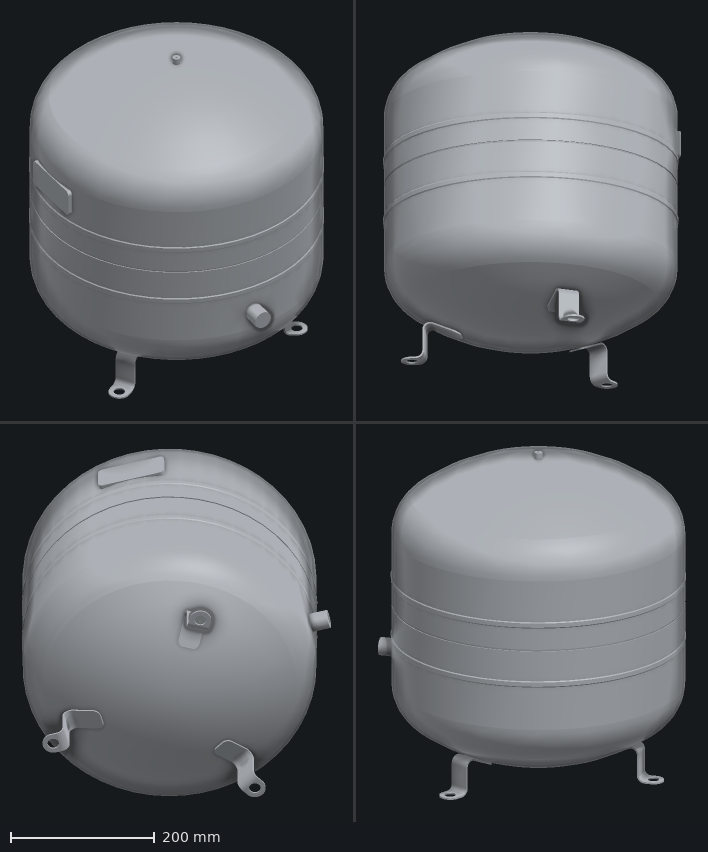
import cadquery as cq
import math

tank_radius = 204.5
knuckle_radius = 65.0
crown_radius = 304.0
lower_tangent_z = 129.8
upper_tangent_z = 348.5

bead_levels = (196.8, 283.8)
bead_base_width = 9.2
bead_crest_width = 6.2
bead_radius = 205.6
seam_z = 246.5
seam_width = 2.6
seam_depth = 1.5

plate_width = 94.0
plate_height = 40.0
plate_z = 321.0
plate_corner_radius = 6.0
plate_face_y = -205.66
plate_depth = 6.0

pipe_diameter = 25.5
pipe_z = 157.8
pipe_end_x = 229.53

valve_diameter = 11.0
valve_shoulder_z = 467.5
valve_pin_diameter = 3.0
valve_pin_top_z = 469.0

foot_angles = (60.0, 180.0, 300.0)
strap_width = 30.0
strap_thickness = 2.4
bend_radius = 8.5
foot_outer_reach = 182.5
leg_outer_face = 150.5
tab_contact_radius = 120.0
tab_end_radius = 97.0
tab_corner_radius = 10.0
bolt_hole_diameter = 16.0

knuckle_centre_radius = tank_radius - knuckle_radius
crown_offset = math.sqrt((crown_radius - knuckle_radius) ** 2 - knuckle_centre_radius**2)
crown_height = crown_radius - crown_offset
lower_crown_centre_z = lower_tangent_z + crown_offset
join_angle = math.atan2(crown_offset, knuckle_centre_radius)
crown_join_angle = (join_angle + math.pi / 2) / 2


def polar(radius, angle):
    """Radial and axial parts of a point on an arc, with the angle up from the radial axis."""
    return radius * math.cos(angle), radius * math.sin(angle)


def tank_shell():
    knuckle_mid_r, knuckle_mid_z = polar(knuckle_radius, join_angle / 2)
    knuckle_mid_r += knuckle_centre_radius
    join_r, join_z = polar(crown_radius, join_angle)
    join_z -= crown_offset
    crown_mid_r, crown_mid_z = polar(crown_radius, crown_join_angle)
    crown_mid_z -= crown_offset
    return (
        cq.Workplane("XZ")
        .moveTo(0, lower_tangent_z - crown_height)
        .threePointArc((crown_mid_r, lower_tangent_z - crown_mid_z), (join_r, lower_tangent_z - join_z))
        .threePointArc((knuckle_mid_r, lower_tangent_z - knuckle_mid_z), (tank_radius, lower_tangent_z))
        .lineTo(tank_radius, upper_tangent_z)
        .threePointArc((knuckle_mid_r, upper_tangent_z + knuckle_mid_z), (join_r, upper_tangent_z + join_z))
        .threePointArc((crown_mid_r, upper_tangent_z + crown_mid_z), (0, upper_tangent_z + crown_height))
        .close()
        .revolve(360, (0, 0), (0, 1))
    )


def bead(z_middle):
    """Ring with a flat crest and sloping flanks, rooted inside the shell."""
    return (
        cq.Workplane("XZ", origin=(0, 0, z_middle))
        .polyline(
            [
                (knuckle_centre_radius, -bead_base_width / 2),
                (tank_radius, -bead_base_width / 2),
                (bead_radius, -bead_crest_width / 2),
                (bead_radius, bead_crest_width / 2),
                (tank_radius, bead_base_width / 2),
                (knuckle_centre_radius, bead_base_width / 2),
            ]
        )
        .close()
        .revolve(360, (0, 0), (0, 1))
    )


def seam_groove():
    return (
        cq.Workplane("XY", origin=(0, 0, seam_z - seam_width / 2))
        .circle(bead_radius)
        .circle(tank_radius - seam_depth)
        .extrude(seam_width)
    )


def name_plate():
    return (
        cq.Workplane("XZ", origin=(0, plate_face_y, plate_z))
        .rect(plate_width, plate_height)
        .extrude(-plate_depth)
        .edges("|Y")
        .fillet(plate_corner_radius)
    )


def side_pipe():
    return (
        cq.Workplane("YZ", origin=(knuckle_centre_radius, 0, pipe_z))
        .circle(pipe_diameter / 2)
        .extrude(pipe_end_x - knuckle_centre_radius)
    )


def upright_cylinder(diameter, bottom_z, top_z):
    return cq.Workplane("XY", origin=(0, 0, bottom_z)).circle(diameter / 2).extrude(top_z - bottom_z)


def air_valve():
    stem = upright_cylinder(valve_diameter, upper_tangent_z, valve_shoulder_z)
    pin = upright_cylinder(valve_pin_diameter, valve_shoulder_z, valve_pin_top_z)
    return stem.union(pin)


def build_tank():
    shell = tank_shell().cut(seam_groove())
    for bead_z in bead_levels:
        shell = shell.union(bead(bead_z))
    return shell.union(name_plate()).union(side_pipe()).union(air_valve())


def round_bend(strap, corner, radius):
    corner_x, corner_z = corner
    return strap.edges(cq.selectors.NearestToPointSelector((corner_x, 0, corner_z))).fillet(radius)


def build_foot():
    """One foot along +X: flat sole, upright leg and a tab lying tangent against the lower crown."""
    slope = math.asin(tab_contact_radius / crown_radius)
    contact_z = lower_crown_centre_z - math.sqrt(crown_radius**2 - tab_contact_radius**2)

    def tab_z(x):
        return contact_z + (x - tab_contact_radius) * math.tan(slope)

    leg_inner_face = leg_outer_face - strap_thickness
    tab_drop = strap_thickness / math.cos(slope)
    end_shift_x = strap_thickness * math.sin(slope)
    end_shift_z = strap_thickness * math.cos(slope)
    sole_inside = (leg_inner_face, 0)
    sole_outside = (leg_outer_face, strap_thickness)
    top_outside = (leg_outer_face, tab_z(leg_outer_face))
    top_inside = (leg_inner_face, tab_z(leg_inner_face) - tab_drop)
    strap = (
        cq.Workplane("XZ", origin=(0, strap_width / 2, 0))
        .polyline(
            [
                (foot_outer_reach, 0),
                sole_inside,
                top_inside,
                (tab_end_radius + end_shift_x, tab_z(tab_end_radius) - end_shift_z),
                (tab_end_radius, tab_z(tab_end_radius)),
                top_outside,
                sole_outside,
                (foot_outer_reach, strap_thickness),
            ]
        )
        .close()
        .extrude(strap_width)
    )

    for inner_corner in (sole_outside, top_inside):
        strap = round_bend(strap, inner_corner, bend_radius)
    for outer_corner in (sole_inside, top_outside):
        strap = round_bend(strap, outer_corner, bend_radius + strap_thickness)

    plan_height = top_outside[1]
    plan_length = foot_outer_reach - tab_end_radius
    plan = (
        cq.Workplane("XY")
        .center(tab_end_radius + plan_length / 2, 0)
        .rect(plan_length, strap_width)
        .extrude(plan_height)
        .edges("|Z and <X")
        .fillet(tab_corner_radius)
    )
    bolt_x = foot_outer_reach - strap_width / 2
    sole_outline = cq.Workplane("XY").center(bolt_x, 0).circle(strap_width / 2).extrude(strap_thickness)
    beyond_bolt = (
        cq.Workplane("XY")
        .center(bolt_x + strap_width / 4, 0)
        .rect(strap_width / 2, strap_width)
        .extrude(strap_thickness)
    )
    bolt_hole = cq.Workplane("XY").center(bolt_x, 0).circle(bolt_hole_diameter / 2).extrude(strap_thickness)
    return strap.intersect(plan).cut(beyond_bolt.cut(sole_outline)).cut(bolt_hole)


tank = build_tank()
foot = build_foot()
feet = [foot.rotate((0, 0, 0), (0, 0, 1), angle) for angle in foot_angles]

result = cq.Compound.makeCompound([tank.val(), *[placed.val() for placed in feet]])